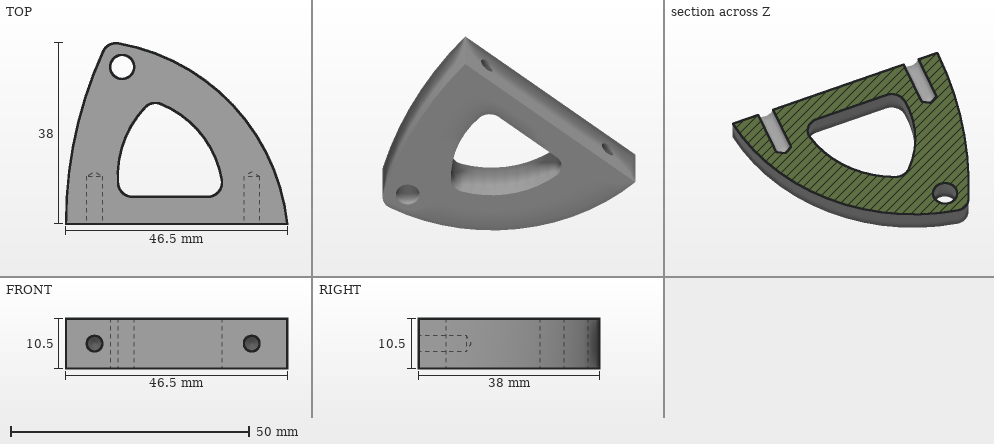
import cadquery as cq
import math

base_length = 46.5
thickness = 10.5
tip_radius = 3.0

foot_height = 0.5
left_radius = 86.0
left_center = (left_radius, foot_height)

right_radius = 43.2
right_center_y = -4.58
right_center = (base_length - math.sqrt(right_radius**2 - right_center_y**2), right_center_y)

window_bottom = 5.75
window_arc_radius = 21.0
window_left_center = (31.9, 10.1)
window_right_center = (12.0, 5.75)
window_corner_radius = 3.0

pivot_diameter = 5.0
pivot_center = (11.8, 33.0)

drill_diameter = 3.3
drill_depth = 10.0
drill_point_angle = 118.0
drill_positions_x = (6.0, 39.0)


def upper_intersection(center_a, radius_a, center_b, radius_b):
    """Upper crossing point of two circles, where circle b has its center left of circle a's."""
    dx = center_b[0] - center_a[0]
    dy = center_b[1] - center_a[1]
    distance = math.hypot(dx, dy)
    along = (radius_a**2 - radius_b**2 + distance**2) / (2 * distance)
    across = math.sqrt(radius_a**2 - along**2)
    return (
        center_a[0] + (along * dx + across * dy) / distance,
        center_a[1] + (along * dy - across * dx) / distance,
    )


def arc_midpoint(center, radius, start, end):
    """Point halfway along the minor arc between two points of a circle."""
    dx = (start[0] + end[0]) / 2 - center[0]
    dy = (start[1] + end[1]) / 2 - center[1]
    scale = radius / math.hypot(dx, dy)
    return (center[0] + dx * scale, center[1] + dy * scale)


def half_chord(center, radius, y):
    """Horizontal distance from a circle's center to the circle at height y."""
    return math.sqrt(radius**2 - (y - center[1]) ** 2)


def make_plate():
    foot_top = (0, foot_height)
    base_right = (base_length, 0)
    tip = upper_intersection(left_center, left_radius, right_center, right_radius)
    plate = (
        cq.Workplane("XY")
        .moveTo(0, 0)
        .lineTo(*base_right)
        .threePointArc(arc_midpoint(right_center, right_radius, base_right, tip), tip)
        .threePointArc(arc_midpoint(left_center, left_radius, tip, foot_top), foot_top)
        .close()
        .extrude(thickness)
    )
    tip_edge = cq.selectors.NearestToPointSelector((*tip, thickness / 2))
    return plate.edges(tip_edge).fillet(tip_radius)


def make_window():
    radius = window_arc_radius
    bottom_left = (
        window_left_center[0] - half_chord(window_left_center, radius, window_bottom),
        window_bottom,
    )
    bottom_right = (
        window_right_center[0] + half_chord(window_right_center, radius, window_bottom),
        window_bottom,
    )
    top = upper_intersection(window_left_center, radius, window_right_center, radius)
    return (
        cq.Workplane("XY")
        .moveTo(*bottom_left)
        .lineTo(*bottom_right)
        .threePointArc(arc_midpoint(window_right_center, radius, bottom_right, top), top)
        .threePointArc(arc_midpoint(window_left_center, radius, top, bottom_left), bottom_left)
        .close()
        .extrude(thickness)
        .edges("|Z")
        .fillet(window_corner_radius)
    )


def make_pivot_hole():
    return cq.Workplane("XY").center(*pivot_center).circle(pivot_diameter / 2).extrude(thickness)


def make_drilled_hole(x):
    """Cylinder along +Y from the base edge, ending in a conical drill point."""
    drill_radius = drill_diameter / 2
    point_length = drill_radius / math.tan(math.radians(drill_point_angle / 2))
    profile = [
        (0, 0),
        (drill_radius, 0),
        (drill_radius, drill_depth),
        (0, drill_depth + point_length),
    ]
    hole = cq.Workplane("XY").polyline(profile).close().revolve(360, (0, 0), (0, 1))
    return hole.translate((x, 0, thickness / 2))


result = make_plate().cut(make_window()).cut(make_pivot_hole())
for drill_x in drill_positions_x:
    result = result.cut(make_drilled_hole(drill_x))